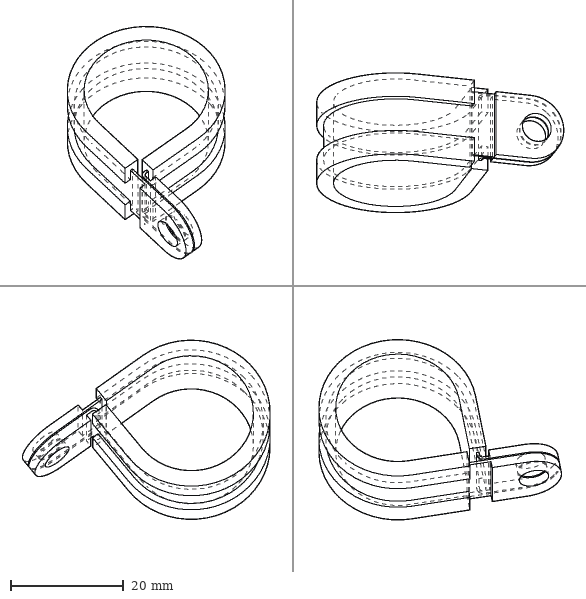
import cadquery as cq
import math

loop_diameter = 28.0
cushion_width = 15.5
cushion_wall = 3.0
groove_width = 6.5
groove_depth = 1.25
leg_length = 10.5

strap_thickness = 0.5
strap_width = 12.0
bend_inner_radius = 0.5

overall_length = 41.0
tab_gap = 0.25
tab_start = 14.5
hole_diameter = 5.3
hole_offset = 1.02

loop_radius = loop_diameter / 2
bore_radius = loop_radius - cushion_wall
strap_outer_radius = loop_radius - groove_depth
strap_inner_radius = strap_outer_radius - strap_thickness

tab_end = overall_length - loop_radius
tab_round_radius = strap_width / 2
tab_round_x = tab_end - tab_round_radius
lower_tab_top = -strap_inner_radius
tab_thickness = loop_radius - strap_inner_radius
upper_tab_bottom = lower_tab_top + tab_gap
bend_outer_radius = bend_inner_radius + strap_thickness
bend_top = upper_tab_bottom + bend_outer_radius


def loop_band(inner_radius, outer_radius, width):
    """Three-quarter ring with a straight leg along +X and one along -Y."""
    diagonal = math.sqrt(0.5)
    return (
        cq.Workplane("XY")
        .moveTo(leg_length, -outer_radius)
        .lineTo(0, -outer_radius)
        .threePointArc((-outer_radius * diagonal, outer_radius * diagonal), (outer_radius, 0))
        .lineTo(outer_radius, -leg_length)
        .lineTo(inner_radius, -leg_length)
        .lineTo(inner_radius, 0)
        .threePointArc((-inner_radius * diagonal, inner_radius * diagonal), (0, -inner_radius))
        .lineTo(leg_length, -inner_radius)
        .close()
        .extrude(width / 2, both=True)
    )


def tab(bottom):
    """Plate with a rounded free end, standing from y = bottom towards +Y."""
    half_width = strap_width / 2
    return (
        cq.Workplane("XZ", origin=(0, bottom, 0))
        .moveTo(tab_start, -half_width)
        .lineTo(tab_round_x, -half_width)
        .threePointArc((tab_end, 0), (tab_round_x, half_width))
        .lineTo(tab_start, half_width)
        .close()
        .extrude(-tab_thickness)
    )


def lower_strap():
    """Flat strap running from the lower leg to its tab."""
    return (
        cq.Workplane("XY")
        .moveTo(leg_length, -strap_outer_radius)
        .lineTo(tab_start, -strap_outer_radius)
        .lineTo(tab_start, -strap_inner_radius)
        .lineTo(leg_length, -strap_inner_radius)
        .close()
        .extrude(strap_width / 2, both=True)
    )


def upper_strap():
    """Strap leaving the other leg and bending outwards to its tab."""
    return (
        cq.Workplane("XY")
        .moveTo(strap_inner_radius, -leg_length)
        .lineTo(strap_inner_radius, bend_top)
        .radiusArc((strap_inner_radius + bend_outer_radius, upper_tab_bottom), -bend_outer_radius)
        .lineTo(tab_start, upper_tab_bottom)
        .lineTo(tab_start, upper_tab_bottom + strap_thickness)
        .lineTo(strap_inner_radius + bend_outer_radius, upper_tab_bottom + strap_thickness)
        .radiusArc((strap_outer_radius, bend_top), bend_inner_radius)
        .lineTo(strap_outer_radius, -leg_length)
        .close()
        .extrude(strap_width / 2, both=True)
    )


cushion = loop_band(bore_radius, loop_radius, cushion_width)
groove = loop_band(strap_outer_radius, loop_radius, groove_width)
clamp = cushion.cut(groove)

clamp = clamp.union(lower_strap()).union(upper_strap())
clamp = clamp.union(tab(-loop_radius)).union(tab(upper_tab_bottom))

bolt_hole = (
    cq.Workplane("XZ", origin=(tab_round_x + hole_offset, 0, 0))
    .circle(hole_diameter / 2)
    .extrude(loop_diameter)
)
result = clamp.cut(bolt_hole)